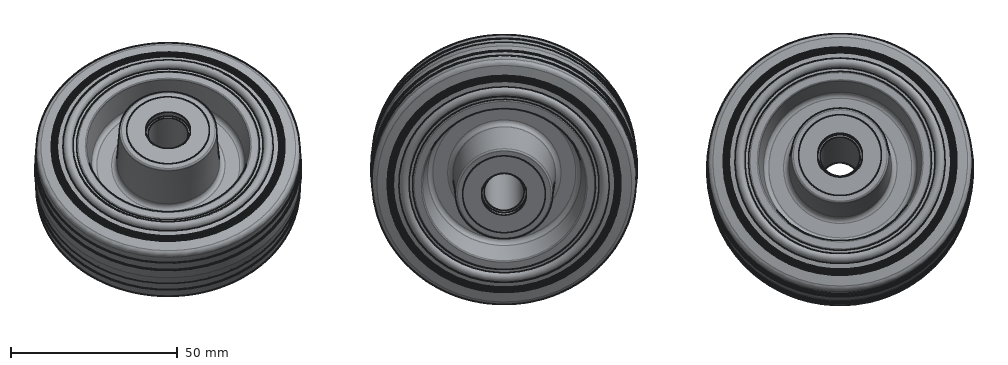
import cadquery as cq
import math


tyre_radius = 40.0
tread_edge_radius = 39.8
groove_radius = 39.4
shoulder_radius = 39.7
corner_radius = 39.5
corner_fillet = 1.6
tread_half_width = 3.3
groove_end = 6.9
sidewall_slope = 0.12
lip_centre_radius = 30.0
lip_radius = 1.5
lip_base_height = 12.1

bead_count = 3
bead_outer_radius = 35.0
bead_pitch = 0.7
bead_width = 0.4
bead_height = 0.2

rim_radius = 27.4
rim_half_height = 12.5
rim_edge_fillet = 0.4
well_top_radius = 24.6
well_draft = 10.0
well_floor = 2.3
well_fillet = 1.6
hub_half_height = 20.0
hub_top_radius = 14.6
hub_draft = 3.0
hub_edge_fillet = 0.6

bush_radius = 12.4
bush_bore_radius = 6.7
axle_radius = 6.0
sleeve_setback = 2.0
sleeve_half_height = hub_half_height - sleeve_setback


def revolve(profile):
    """Turn a closed XZ-plane profile about the Z axis."""
    return profile.close().revolve(360, (0, 0, 0), (0, 1, 0))


def mirrored(upper_half):
    """Join an upper half to its mirror image below z = 0."""
    return upper_half.union(upper_half.mirror("XY")).solids()


def tube(outer_radius, inner_radius, half_height):
    """Plain tube centred on the origin."""
    return (
        cq.Workplane("XY", origin=(0, 0, -half_height))
        .circle(outer_radius)
        .circle(inner_radius)
        .extrude(2 * half_height)
    )


def fillet_circle(body, radius, height, size):
    """Round the circular edge of the given radius that lies at the given height."""
    half_side = radius + 0.1
    half_depth = 0.1
    level = cq.selectors.BoxSelector(
        (-half_side, -half_side, height - half_depth),
        (half_side, half_side, height + half_depth),
        boundingbox=True,
    )
    circles = body.edges(level).edges("%CIRCLE").vals()
    edge = min(circles, key=lambda circle: abs(circle.radius() - radius))
    return body.newObject([edge]).fillet(size)


def sidewall_height(radius):
    """Height of the conical sidewall at a radius."""
    return lip_base_height - sidewall_slope * (radius - lip_centre_radius - lip_radius)


def make_tyre():
    corner_height = sidewall_height(corner_radius)
    profile = (
        cq.Workplane("XZ")
        .moveTo(rim_radius, 0)
        .lineTo(tyre_radius, 0)
        .lineTo(tread_edge_radius, tread_half_width)
        .lineTo(groove_radius, tread_half_width)
        .lineTo(groove_radius, groove_end)
        .lineTo(shoulder_radius, groove_end)
        .lineTo(corner_radius, corner_height)
    )
    for index in range(bead_count):
        outer = bead_outer_radius - index * bead_pitch
        middle = outer - bead_width / 2
        inner = outer - bead_width
        profile = profile.lineTo(outer, sidewall_height(outer)).threePointArc(
            (middle, sidewall_height(middle) + bead_height), (inner, sidewall_height(inner))
        )
    profile = (
        profile.lineTo(lip_centre_radius + lip_radius, lip_base_height)
        .threePointArc(
            (lip_centre_radius, lip_base_height + lip_radius),
            (lip_centre_radius - lip_radius, lip_base_height),
        )
        .lineTo(rim_radius, lip_base_height)
    )
    upper_half = fillet_circle(revolve(profile), corner_radius, corner_height, corner_fillet)
    return mirrored(upper_half)


def make_rim():
    well_depth = rim_half_height - well_floor
    well_floor_radius = well_top_radius - well_depth * math.tan(math.radians(well_draft))
    hub_height = hub_half_height - well_floor
    hub_floor_radius = hub_top_radius + hub_height * math.tan(math.radians(hub_draft))
    upper_half = revolve(
        cq.Workplane("XZ")
        .moveTo(bush_radius, 0)
        .lineTo(rim_radius, 0)
        .lineTo(rim_radius, rim_half_height)
        .lineTo(well_top_radius, rim_half_height)
        .lineTo(well_floor_radius, well_floor)
        .lineTo(hub_floor_radius, well_floor)
        .lineTo(hub_top_radius, hub_half_height)
        .lineTo(bush_radius, hub_half_height)
    )
    for radius, height, size in (
        (rim_radius, rim_half_height, rim_edge_fillet),
        (well_top_radius, rim_half_height, rim_edge_fillet),
        (well_floor_radius, well_floor, well_fillet),
        (hub_floor_radius, well_floor, well_fillet),
        (hub_top_radius, hub_half_height, hub_edge_fillet),
    ):
        upper_half = fillet_circle(upper_half, radius, height, size)
    return mirrored(upper_half)


tyre = make_tyre()
rim = make_rim()
bush = tube(bush_radius, bush_bore_radius, hub_half_height)
sleeve = tube(bush_bore_radius, axle_radius, sleeve_half_height)

result = cq.Compound.makeCompound([tyre.val(), rim.val(), bush.val(), sleeve.val()])